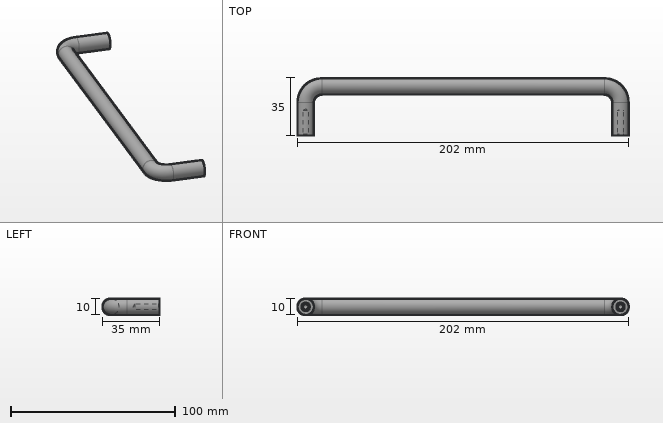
import cadquery as cq
import math

length = 202.0
depth = 35.0
rod_diameter = 10.0
bend_radius = 9.9
hole_diameter = 3.5
hole_depth = 15.2
drill_point_angle = 118.0
mouth_chamfer = 0.8

leg_x = (length - rod_diameter) / 2
leg_end_y = -depth / 2
grip_y = depth / 2 - rod_diameter / 2
bend_start_y = grip_y - bend_radius
bend_start_x = leg_x - bend_radius


def bent_rod():
    """Round rod swept along a U-shaped centreline."""
    path = (
        cq.Workplane("XY")
        .moveTo(-leg_x, leg_end_y)
        .lineTo(-leg_x, bend_start_y)
        .tangentArcPoint((-bend_start_x, grip_y), relative=False)
        .lineTo(bend_start_x, grip_y)
        .tangentArcPoint((leg_x, bend_start_y), relative=False)
        .lineTo(leg_x, leg_end_y)
    )
    profile = cq.Workplane("XZ", origin=(-leg_x, leg_end_y, 0)).circle(rod_diameter / 2)
    return profile.sweep(path)


def mounting_hole(x):
    """Drilled blind hole with a chamfered mouth and conical bottom, cut into the end of the leg at x."""
    hole_radius = hole_diameter / 2
    mouth_radius = hole_radius + mouth_chamfer
    tip_height = hole_radius / math.tan(math.radians(drill_point_angle / 2))
    return (
        cq.Workplane("XY", origin=(x, leg_end_y, 0))
        .polyline([
            (0, 0),
            (mouth_radius, 0),
            (hole_radius, mouth_chamfer),
            (hole_radius, hole_depth),
            (0, hole_depth + tip_height),
        ])
        .close()
        .revolve(360, (0, 0, 0), (0, 1, 0))
    )


result = bent_rod()
for x in (-leg_x, leg_x):
    result = result.cut(mounting_hole(x))